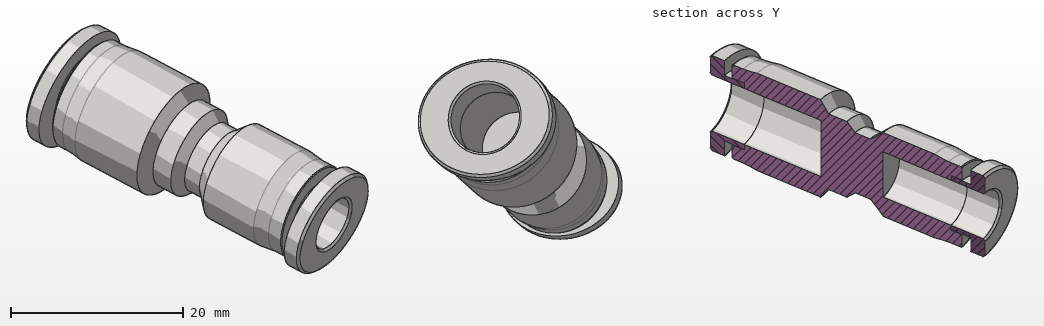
import cadquery as cq

length = 38.6

housing_start = 3.05
housing_end = 35.35
large_mouth_end = 4.67
large_barrel_start = 6.65
large_barrel_end = 15.5
shoulder_start = 16.68
shoulder_end = 19.22
waist_start = 20.4
waist_end = 22.5
small_barrel_start = 24.3
small_barrel_end = 31.55
small_mouth_start = 33.5

large_mouth_diameter = 13.9
large_barrel_diameter = 14.4
shoulder_diameter = 11.2
waist_diameter = 8.9
small_barrel_diameter = 12.4
small_mouth_diameter = 11.9
rim_chamfer = 0.25
small_rim_chamfer = 0.1

flange_thickness = 2.05
sleeve_end_depth = 4.8
bore_chamfer = 0.27
flange_chamfer = 0.3

large_flange_width = 16.0
large_flange_height = 14.05
large_sleeve_diameter = 9.7
large_bore_diameter = 8.2

small_flange_width = 14.05
small_flange_height = 11.95
small_sleeve_diameter = 7.87
small_bore_diameter = 6.55


def rod(diameter, start, end):
    """Cylinder on the X axis between two stations."""
    return cq.Workplane("YZ", origin=(start, 0, 0)).circle(diameter / 2).extrude(end - start)


def make_housing():
    """Turned housing with a blind stepped bore in each end."""
    outline = (
        cq.Workplane("XY")
        .moveTo(housing_start, 0)
        .lineTo(housing_start, large_mouth_diameter / 2 - rim_chamfer)
        .lineTo(housing_start + rim_chamfer, large_mouth_diameter / 2)
        .lineTo(large_mouth_end, large_mouth_diameter / 2)
        .lineTo(large_barrel_start, large_barrel_diameter / 2)
        .lineTo(large_barrel_end, large_barrel_diameter / 2)
        .lineTo(shoulder_start, shoulder_diameter / 2)
        .lineTo(shoulder_end, shoulder_diameter / 2)
        .lineTo(waist_start, waist_diameter / 2)
        .lineTo(waist_end, waist_diameter / 2)
        .lineTo(small_barrel_start, small_barrel_diameter / 2)
        .lineTo(small_barrel_end, small_barrel_diameter / 2)
        .lineTo(small_mouth_start, small_mouth_diameter / 2)
        .lineTo(housing_end - small_rim_chamfer, small_mouth_diameter / 2)
        .lineTo(housing_end, small_mouth_diameter / 2 - small_rim_chamfer)
        .lineTo(housing_end, 0)
        .close()
    )
    body = outline.revolve(360, (0, 0, 0), (1, 0, 0))

    body = body.cut(rod(large_sleeve_diameter, housing_start, sleeve_end_depth))
    body = body.cut(rod(large_bore_diameter, sleeve_end_depth, large_barrel_end))
    body = body.cut(rod(small_sleeve_diameter, length - sleeve_end_depth, housing_end))
    body = body.cut(rod(small_bore_diameter, small_barrel_start, length - sleeve_end_depth))
    return body


def make_collar(flange_width, flange_height, sleeve_diameter, bore_diameter):
    """Release collar with its outer face at X = 0 and its sleeve pointing toward +X."""
    flange = (
        cq.Workplane("YZ")
        .ellipse(flange_width / 2, flange_height / 2)
        .extrude(flange_thickness)
        .faces("<X")
        .chamfer(flange_chamfer)
    )
    collar = flange.union(rod(sleeve_diameter, flange_thickness, sleeve_end_depth))
    collar = collar.cut(rod(bore_diameter, 0, sleeve_end_depth))
    mouth = cq.Solid.makeCone(
        bore_diameter / 2 + bore_chamfer,
        bore_diameter / 2,
        bore_chamfer,
        pnt=cq.Vector(0, 0, 0),
        dir=cq.Vector(1, 0, 0),
    )
    return collar.cut(cq.Workplane(mouth))


housing = make_housing()

large_collar = make_collar(
    large_flange_width, large_flange_height, large_sleeve_diameter, large_bore_diameter
)

small_collar = (
    make_collar(small_flange_width, small_flange_height, small_sleeve_diameter, small_bore_diameter)
    .rotate((0, 0, 0), (0, 0, 1), 180)
    .translate((length, 0, 0))
)

result = cq.Compound.makeCompound([housing.val(), large_collar.val(), small_collar.val()])